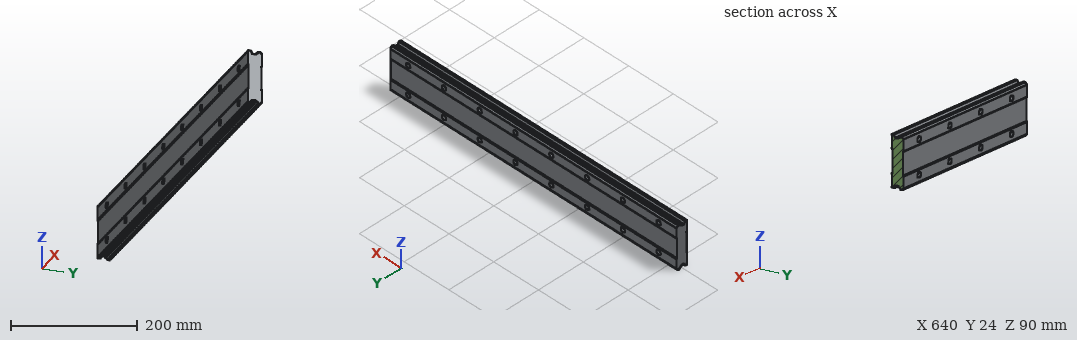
import cadquery as cq
import math

length = 640.0
thickness = 24.0
height = 90.0
half_thickness = thickness / 2
half_height = height / 2

back_chamfer = 3.6
front_chamfer = 1.0

recess_floor_height = 40.0
recess_depth = 1.0

raceway_depth = 5.0
back_lip_y = 5.2
front_lip_y = -7.5
arc_drop = 3.2
arc_radius = 3.3
front_wall_angle = 60.0

hole_diameter = 9.0
row_count = 2
hole_pitch = 80.0
holes_per_row = 8
row_spacing = 60.0


def long_bar(section):
    """Extrude a section sketched in the Y-Z plane over the full length."""
    return section.extrude(length / 2, both=True)


def rail_blank():
    """Rectangular bar with its four long edges bevelled."""
    bar = cq.Workplane("XY").box(length, thickness, height)
    bar = bar.faces(">Y").edges("|X").chamfer(back_chamfer)
    return bar.faces("<Y").edges("|X").chamfer(front_chamfer)


def back_recess():
    """Trapezoidal bar to remove from the back face."""
    floor_z = recess_floor_height / 2
    mouth_z = floor_z + recess_depth
    floor_y = half_thickness - recess_depth
    section = cq.Workplane("YZ").polyline(
        [
            (half_thickness, mouth_z),
            (floor_y, floor_z),
            (floor_y, -floor_z),
            (half_thickness, -mouth_z),
        ]
    )
    return long_bar(section.close())


def arc_midpoint(start, end, radius):
    """Middle of the arc joining two points, bulging to the right when walking from start to end."""
    chord_y = end[0] - start[0]
    chord_z = end[1] - start[1]
    chord = math.hypot(chord_y, chord_z)
    bulge = radius - math.sqrt(radius**2 - (chord / 2) ** 2)
    middle_y = (start[0] + end[0]) / 2 + bulge * chord_z / chord
    middle_z = (start[1] + end[1]) / 2 - bulge * chord_y / chord
    return (middle_y, middle_z)


def top_raceway():
    """Bar with the raceway section to remove from the top edge."""
    floor_z = half_height - raceway_depth
    back_lip = (back_lip_y, half_height)
    arc_end = (back_lip_y - arc_drop, half_height - arc_drop)
    floor_back_y = arc_end[0] - (arc_end[1] - floor_z)
    front_wall_run = raceway_depth / math.tan(math.radians(front_wall_angle))
    floor_front_y = front_lip_y + front_wall_run
    section = (
        cq.Workplane("YZ")
        .moveTo(*back_lip)
        .threePointArc(arc_midpoint(arc_end, back_lip, arc_radius), arc_end)
        .lineTo(floor_back_y, floor_z)
        .lineTo(floor_front_y, floor_z)
        .lineTo(front_lip_y, half_height)
        .close()
    )
    return long_bar(section)


def mounting_holes():
    """Grid of cylinders through the thickness."""
    return (
        cq.Workplane("XZ")
        .rarray(hole_pitch, row_spacing, holes_per_row, row_count)
        .circle(hole_diameter / 2)
        .extrude(thickness, both=True)
    )


def with_mirror(cutter, plane):
    """The cutter together with its mirror image."""
    return [cutter, cutter.mirror(plane)]


result = rail_blank()
for cutter in with_mirror(back_recess(), "XZ") + with_mirror(top_raceway(), "XY"):
    result = result.cut(cutter)
result = result.cut(mounting_holes())